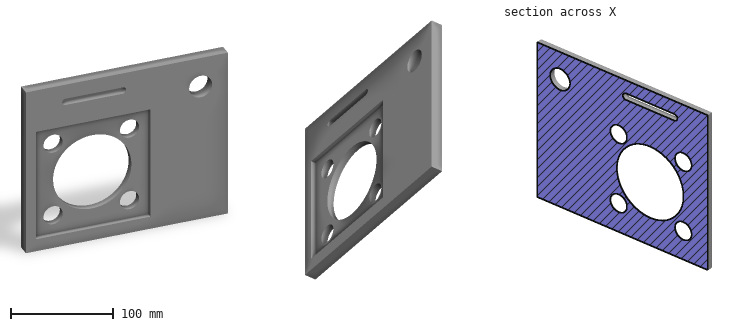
import cadquery as cq

thickness = 12.5
width = 211.5
height = 179.95

datum_y = -width / 2
datum_z = -height / 2

bore_diameter = 82.0
bore_y = datum_y + 71.5
bore_z = datum_z + 73.5

bolt_hole_diameter = 20.0
bolt_spacing = 80.0
bolt_center_y = bore_y - 1.0
bolt_center_z = bore_z

recess_size = 120.0
recess_depth = 5.0

corner_hole_diameter = 24.0
corner_hole_y = datum_y + 183.0
corner_hole_z = datum_z + 148.0

slot_length = 67.0
slot_width = 7.0
slot_y = bore_y
slot_z = datum_z + 160.7


def face_plane():
    """YZ sketch plane on the -X face, with its normal along +X."""
    return cq.Workplane("YZ", origin=(-thickness / 2, 0, 0))


def through_hole(y, z, diameter):
    return face_plane().center(y, z).circle(diameter / 2).extrude(thickness)


def through_slot(y, z, length, slot_height):
    return face_plane().center(y, z).slot2D(length, slot_height).extrude(thickness)


def rear_recess():
    floor_x = thickness / 2 - recess_depth
    floor_plane = cq.Workplane("YZ", origin=(floor_x, bolt_center_y, bolt_center_z))
    return floor_plane.rect(recess_size, recess_size).extrude(recess_depth)


result = face_plane().rect(width, height).extrude(thickness)
result = result.cut(rear_recess())

result = result.cut(through_hole(bore_y, bore_z, bore_diameter))

for side_y in (-1, 1):
    for side_z in (-1, 1):
        bolt_y = bolt_center_y + side_y * bolt_spacing / 2
        bolt_z = bolt_center_z + side_z * bolt_spacing / 2
        result = result.cut(through_hole(bolt_y, bolt_z, bolt_hole_diameter))

result = result.cut(through_hole(corner_hole_y, corner_hole_z, corner_hole_diameter))
result = result.cut(through_slot(slot_y, slot_z, slot_length, slot_width))